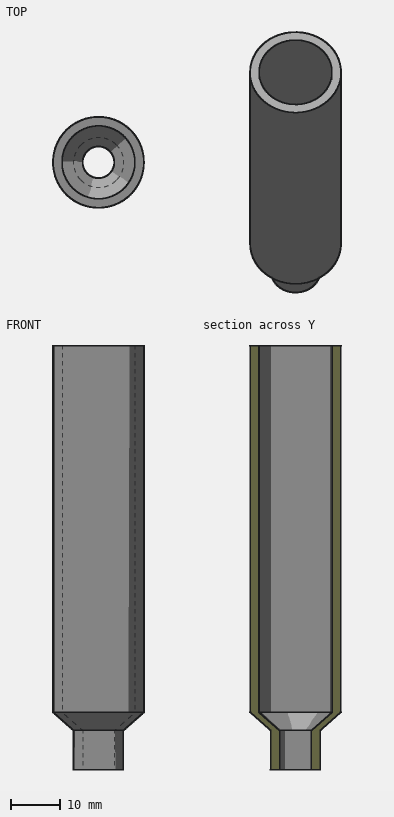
import cadquery as cq

total_length = 86.4
body_diameter = 18.6
bore_diameter = 14.9
neck_diameter = 10.2
neck_hole_diameter = 6.4
neck_length = 8.0
cone_length = 3.7

body_radius = body_diameter / 2
bore_radius = bore_diameter / 2
neck_radius = neck_diameter / 2
neck_hole_radius = neck_hole_diameter / 2
shoulder_height = neck_length + cone_length


def revolved(profile):
    """Turn a half profile in the XZ plane about the Z axis."""
    return profile.close().revolve(360, (0, 0, 0), (0, 1, 0))


outside = revolved(
    cq.Workplane("XZ")
    .lineTo(neck_radius, 0)
    .lineTo(neck_radius, neck_length)
    .lineTo(body_radius, shoulder_height)
    .lineTo(body_radius, total_length)
    .lineTo(0, total_length)
)

inside = revolved(
    cq.Workplane("XZ")
    .lineTo(neck_hole_radius, 0)
    .lineTo(neck_hole_radius, neck_length)
    .lineTo(bore_radius, shoulder_height)
    .lineTo(bore_radius, total_length)
    .lineTo(0, total_length)
)

result = outside.cut(inside)